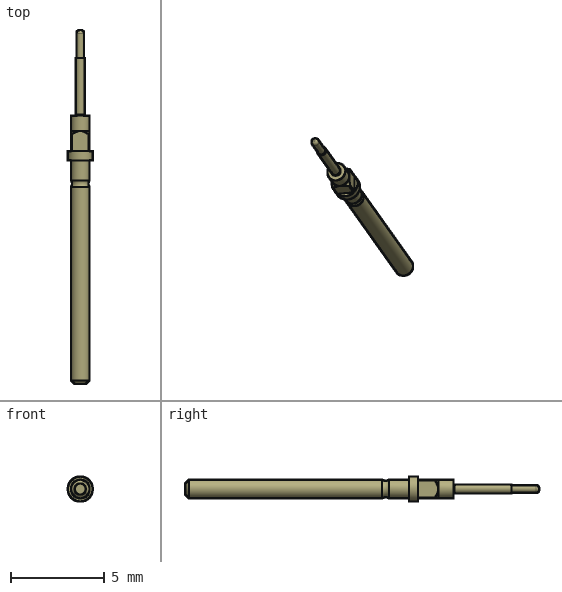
import cadquery as cq

total_length = 19.0

tip_length = 1.5
plunger_end = 4.55
barrel_start = 4.6
square_start = 5.42
collar_start = 6.5
collar_width = 0.5
groove_start = 8.07
groove_width = 0.36

tip_radius = 0.21
tip_rounding = 0.18
plunger_radius = 0.25
plunger_neck_radius = 0.2
barrel_radius = 0.5
collar_radius = 0.675
groove_depth = 0.05
tail_chamfer = 0.2
square_across_flats = 1.0
square_corner_radius = collar_radius


def rod(radius, start, end):
    """Cylinder on the Y axis between two distances from the tip."""
    plane = cq.Workplane("XZ", origin=(0, total_length / 2 - start, 0))
    return plane.circle(radius).extrude(end - start)


def make_tip():
    """Thin contact tip with a rounded end."""
    return rod(tip_radius, 0, tip_length).faces(">Y").edges().fillet(tip_rounding)


def make_barrel():
    """Long tail barrel with a chamfered end."""
    barrel = rod(barrel_radius, collar_start, total_length)
    return barrel.faces("<Y").edges().chamfer(tail_chamfer)


def make_square():
    """Square drive section, its corners turned round and bevelled towards the tip."""
    length = collar_start - square_start
    plane = cq.Workplane("XZ", origin=(0, total_length / 2 - square_start, 0))
    square = plane.rect(square_across_flats, square_across_flats).extrude(length)
    blank = rod(square_corner_radius, square_start, collar_start)
    bevelled_blank = blank.faces(">Y").edges().chamfer(square_corner_radius - barrel_radius)
    return square.intersect(bevelled_blank)


def make_groove():
    """Ring that cuts the shallow round-bottomed crimp groove into the barrel."""
    front = total_length / 2 - groove_start
    profile = (
        cq.Workplane("XY")
        .moveTo(barrel_radius, front)
        .threePointArc(
            (barrel_radius - groove_depth, front - groove_width / 2),
            (barrel_radius, front - groove_width),
        )
        .close()
    )
    return profile.revolve(360, (0, 0, 0), (0, 1, 0))


plunger = rod(plunger_radius, tip_length, plunger_end)
plunger_neck = rod(plunger_neck_radius, plunger_end, barrel_start)
neck = rod(barrel_radius, barrel_start, square_start)
collar = rod(collar_radius, collar_start, collar_start + collar_width)

result = make_tip()
for section in (plunger, plunger_neck, neck, make_square(), collar, make_barrel()):
    result = result.union(section)
result = result.cut(make_groove())